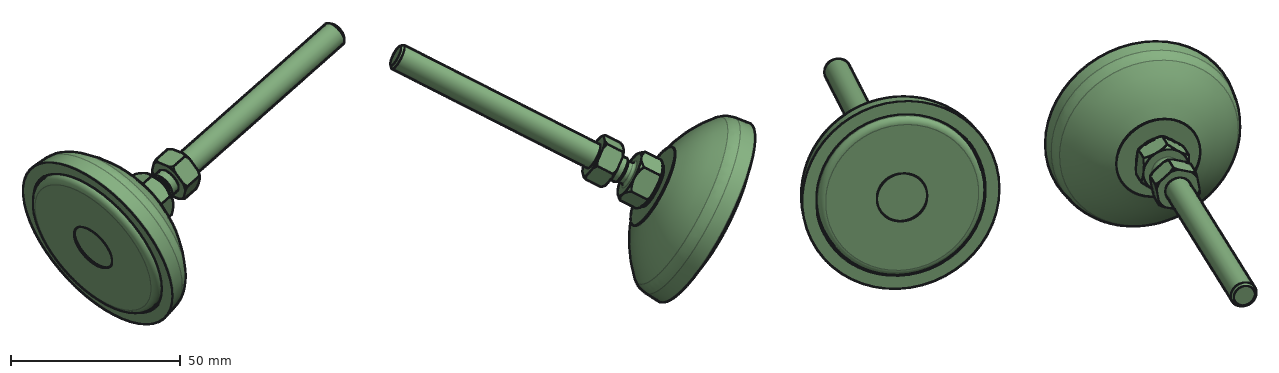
import cadquery as cq
import math

total_length = 107.5

pad_radius = 24.9
pad_fillet = 2.0
pad_exposed_height = 2.0
pad_seat_depth = 2.2
pad_recess_radius = 7.5
pad_recess_depth = 0.4

base_rim_diameter = 59.0
base_rim_radius = base_rim_diameter / 2
base_wall_top_radius = 29.0
base_wall_top_y = 7.1
base_rim_band = 0.4
base_top_radius = 12.9
base_top_y = 19.9
base_top_band = 0.3
dome_radius = 38.5
shoulder_fillet = 5.6
pad_gap = 0.4

rod_radius = 4.0
rod_tip_chamfer = 0.8
rod_lower_y = 30.6
rod_lower_chamfer = 0.5
neck_radius = 3.4
neck_fillet = 1.0
collar_radius = 6.9
hex_bottom_y = 20.5
hex_top_y = 27.7
hex_flats = 14.0
hex_turn = -5.0
hex_top_face_radius = 7.0
hex_bottom_face_radius = 7.4

nut_bottom_y = 33.4
nut_height = 6.6
nut_flats = 12.7
nut_turn = 10.0
nut_face_radius = 6.7

corner_bevel_angle = math.radians(45)


def revolve_about_y(profile):
    """Turn a closed profile, drawn as (radius, Y), into a solid of revolution."""
    return profile.close().revolve(360, (0, 0, 0), (0, 1, 0))


def cylinder(radius, bottom_y, top_y):
    """Round cylinder on the Y axis."""
    return revolve_about_y(
        cq.Workplane("XY")
        .moveTo(0, bottom_y)
        .lineTo(radius, bottom_y)
        .lineTo(radius, top_y)
        .lineTo(0, top_y)
    )


def hex_block(flats, bottom_y, top_y, turn, bottom_face_radius, top_face_radius):
    """Hexagon on the Y axis with conically bevelled corners; turn moves a corner from +Z toward +X."""
    corner_radius = flats / math.sqrt(3)
    angles = [math.radians(turn + 60 * k) for k in range(6)]
    corners = [(corner_radius * math.sin(angle), corner_radius * math.cos(angle)) for angle in angles]
    prism = cq.Workplane("XZ", origin=(0, bottom_y, 0)).polyline(corners).close().extrude(bottom_y - top_y)
    bottom_bevel = (corner_radius - bottom_face_radius) * math.tan(corner_bevel_angle)
    top_bevel = (corner_radius - top_face_radius) * math.tan(corner_bevel_angle)
    envelope = revolve_about_y(
        cq.Workplane("XY")
        .moveTo(0, bottom_y)
        .lineTo(bottom_face_radius, bottom_y)
        .lineTo(corner_radius, bottom_y + bottom_bevel)
        .lineTo(corner_radius, top_y - top_bevel)
        .lineTo(top_face_radius, top_y)
        .lineTo(0, top_y)
    )
    return prism.intersect(envelope)


def make_pad():
    """Disc seated in the base, with a rounded lower rim and a shallow round recess underneath."""
    disc = cylinder(pad_radius, 0, pad_exposed_height + pad_seat_depth)
    disc = disc.faces("<Y").edges().fillet(pad_fillet)
    return disc.cut(cylinder(pad_recess_radius, 0, pad_recess_depth))


def make_base():
    """Spherical dome on a slightly tapered wall, with short upright bands at rim and top and a pad seat."""
    rim_y = pad_exposed_height
    wall_y = rim_y + base_rim_band
    dome_top_y = base_top_y - base_top_band
    centre_y = dome_top_y - math.sqrt(dome_radius**2 - base_top_radius**2)

    taper = (base_rim_radius - base_wall_top_radius) / (base_wall_top_y - wall_y)
    reach = base_rim_radius + taper * (wall_y - centre_y)
    slope_square = 1 + taper**2
    height = (taper * reach + math.sqrt(dome_radius**2 * slope_square - reach**2)) / slope_square
    corner = (reach - taper * height, centre_y + height)

    mid_angle = (math.asin(base_top_radius / dome_radius) + math.asin(corner[0] / dome_radius)) / 2
    dome_mid = (dome_radius * math.sin(mid_angle), centre_y + dome_radius * math.cos(mid_angle))

    base = revolve_about_y(
        cq.Workplane("XY")
        .moveTo(0, rim_y)
        .lineTo(base_rim_radius, rim_y)
        .lineTo(base_rim_radius, wall_y)
        .lineTo(*corner)
        .threePointArc(dome_mid, (base_top_radius, dome_top_y))
        .lineTo(base_top_radius, base_top_y)
        .lineTo(0, base_top_y)
    )
    corner_edge = cq.selectors.NearestToPointSelector((0, corner[1], 0))
    base = base.edges("%CIRCLE").edges(corner_edge).fillet(shoulder_fillet)
    return base.cut(cylinder(pad_radius + pad_gap, rim_y, rim_y + pad_seat_depth))


def make_spindle():
    """Rod with a necked lower end, a wrench hexagon and a collar that stands on the base."""
    neck_top_y = rod_lower_y - rod_lower_chamfer
    shaft = revolve_about_y(
        cq.Workplane("XY")
        .moveTo(0, hex_top_y)
        .lineTo(neck_radius + neck_fillet, hex_top_y)
        .radiusArc((neck_radius, hex_top_y + neck_fillet), neck_fillet)
        .lineTo(neck_radius, neck_top_y)
        .lineTo(rod_radius, rod_lower_y)
        .lineTo(rod_radius, total_length - rod_tip_chamfer)
        .lineTo(rod_radius - rod_tip_chamfer, total_length)
        .lineTo(0, total_length)
    )
    hexagon = hex_block(
        hex_flats, hex_bottom_y, hex_top_y, hex_turn, hex_bottom_face_radius, hex_top_face_radius
    )
    collar = cylinder(collar_radius, base_top_y, hex_bottom_y)
    return shaft.union(hexagon).union(collar)


def make_lock_nut():
    """Hexagon nut whose bore fits the rod."""
    top_y = nut_bottom_y + nut_height
    nut = hex_block(nut_flats, nut_bottom_y, top_y, nut_turn, nut_face_radius, nut_face_radius)
    return nut.cut(cylinder(rod_radius, nut_bottom_y, top_y))


pad = make_pad()
base = make_base()
spindle = make_spindle()
lock_nut = make_lock_nut()

result = cq.Compound.makeCompound([body.solids().val() for body in (pad, base, spindle, lock_nut)])